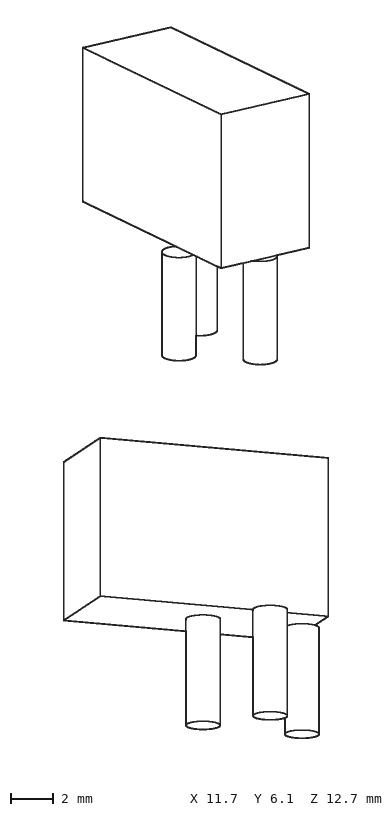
import cadquery as cq

HOUSING_LENGTH = 11.3
HOUSING_WIDTH = 5.0
HOUSING_HEIGHT = 7.6

PIN_DIAMETER = 1.6
PIN_LENGTH = 5.1
END_PIN_OVERHANG = 0.4
FRONT_PIN_OVERHANG = 1.1
INNER_PIN_X = 6.0
FRONT_PIN_X = 8.3

pin_radius = PIN_DIAMETER / 2
end_pin_x = HOUSING_LENGTH + END_PIN_OVERHANG - pin_radius
middle_y = HOUSING_WIDTH / 2
front_pin_y = pin_radius - FRONT_PIN_OVERHANG

pin_centers = [
    (INNER_PIN_X, middle_y),
    (FRONT_PIN_X, front_pin_y),
    (end_pin_x, middle_y),
]


def make_housing():
    """Block with one lower corner at the origin."""
    return cq.Workplane("XY").box(HOUSING_LENGTH, HOUSING_WIDTH, HOUSING_HEIGHT, centered=False)


def make_pin(center):
    """Round pin whose top end touches the plane of the housing's underside."""
    return cq.Workplane("XY").center(*center).circle(pin_radius).extrude(-PIN_LENGTH)


housing = make_housing()
pins = [make_pin(center) for center in pin_centers]

result = cq.Compound.makeCompound([housing.val(), *[pin.val() for pin in pins]])